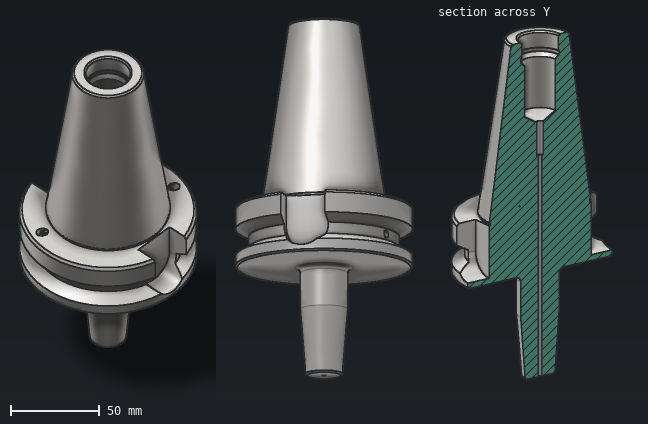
import cadquery as cq
import math

GAUGE_RADIUS = 69.85 / 2
TAPER_LENGTH = 101.8
TAPER_SLOPE = 7 / 24 / 2
TAPER_TIP_CHAMFER = 1.0
RELIEF_HEIGHT = 1.5
RELIEF_DEPTH = 0.5

FLANGE_RADIUS = 50.0
FLANGE_TOP = -3.0
FLANGE_BOTTOM = -38.0
UPPER_CHAMFER = 1.5
LOWER_CHAMFER = 1.0
GROOVE_RADIUS = 85 / 2
GROOVE_CENTRE_Z = -23.5
GROOVE_FLOOR_HALF = 3.25
GROOVE_SIDE_SLOPE = math.tan(math.radians(30))

SLOT_WIDTH = 25.7
SLOT_FLOOR_X = 35.4
SLOT_BOTTOM = -34.3

NOSE_END = -100.0
NECK_RADIUS = 27 / 2
NOSE_TIP_RADIUS = 21 / 2
NOSE_HALF_ANGLE = 4.5
NECK_FILLET = 3.0
NOSE_CHAMFER = 1.0

BORE_RADIUS = 25 / 2
BORE_DEPTH = 12.2
BORE_UNDERCUT_HEIGHT = 2.2
BORE_UNDERCUT_DEPTH = 0.5
BORE_CHAMFER = 1.0
PILOT_RADIUS = 21 / 2
PILOT_LEAD = 2.4
PILOT_DEPTH = 45.0
DRILL_TIP_HALF_ANGLE = 60.0
CHANNEL_RADIUS = 2.0
CHANNEL_DEPTH = 20.0
THROUGH_RADIUS = 1.0

COOLANT_ANGLES = (70.0, 250.0)
COOLANT_MOUTH_RADIUS = 41.7
COOLANT_TILT = 30.0
COUNTERBORE_RADIUS = 3.0
COUNTERBORE_DEPTH = 3.0
PASSAGE_RADIUS = 1.6
RADIAL_HOLE_RADIUS = 2.1


def taper_radius(z):
    """Radius of the 7/24 taper at height z."""
    return GAUGE_RADIUS - TAPER_SLOPE * z


def make_body():
    """Solid of revolution: taper, flange with V groove, neck and tapered nose."""
    relief_radius = GAUGE_RADIUS - RELIEF_DEPTH
    relief_top = FLANGE_TOP + RELIEF_HEIGHT
    tip_shoulder = TAPER_LENGTH - TAPER_TIP_CHAMFER
    groove_rise = (FLANGE_RADIUS - GROOVE_RADIUS) * GROOVE_SIDE_SLOPE
    groove_floor_top = GROOVE_CENTRE_Z + GROOVE_FLOOR_HALF
    groove_floor_bottom = GROOVE_CENTRE_Z - GROOVE_FLOOR_HALF
    nose_length = (NECK_RADIUS - NOSE_TIP_RADIUS) / math.tan(math.radians(NOSE_HALF_ANGLE))

    profile = (
        cq.Workplane("XZ")
        .moveTo(0, TAPER_LENGTH)
        .lineTo(taper_radius(TAPER_LENGTH) - TAPER_TIP_CHAMFER, TAPER_LENGTH)
        .lineTo(taper_radius(tip_shoulder), tip_shoulder)
        .lineTo(taper_radius(relief_top), relief_top)
        .lineTo(relief_radius, relief_top)
        .lineTo(relief_radius, FLANGE_TOP)
        .lineTo(FLANGE_RADIUS - UPPER_CHAMFER, FLANGE_TOP)
        .lineTo(FLANGE_RADIUS, FLANGE_TOP - UPPER_CHAMFER)
        .lineTo(FLANGE_RADIUS, groove_floor_top + groove_rise)
        .lineTo(GROOVE_RADIUS, groove_floor_top)
        .lineTo(GROOVE_RADIUS, groove_floor_bottom)
        .lineTo(FLANGE_RADIUS, groove_floor_bottom - groove_rise)
        .lineTo(FLANGE_RADIUS, FLANGE_BOTTOM + LOWER_CHAMFER)
        .lineTo(FLANGE_RADIUS - LOWER_CHAMFER, FLANGE_BOTTOM)
        .lineTo(NECK_RADIUS + NECK_FILLET, FLANGE_BOTTOM)
        .radiusArc((NECK_RADIUS, FLANGE_BOTTOM - NECK_FILLET), -NECK_FILLET)
        .lineTo(NECK_RADIUS, NOSE_END + nose_length)
        .lineTo(NOSE_TIP_RADIUS, NOSE_END + NOSE_CHAMFER)
        .lineTo(NOSE_TIP_RADIUS - NOSE_CHAMFER, NOSE_END)
        .lineTo(0, NOSE_END)
        .close()
    )
    return profile.revolve(360, (0, 0, 0), (0, 1, 0))


def make_bore():
    """Stepped axial bore that narrows to a small hole through the nose."""
    bore_floor = TAPER_LENGTH - BORE_DEPTH
    undercut_radius = BORE_RADIUS + BORE_UNDERCUT_DEPTH
    undercut_top = bore_floor + BORE_UNDERCUT_HEIGHT
    tip_start = TAPER_LENGTH - PILOT_DEPTH
    tip_drop = (PILOT_RADIUS - CHANNEL_RADIUS) / math.tan(math.radians(DRILL_TIP_HALF_ANGLE))
    channel_top = tip_start - tip_drop
    channel_floor = channel_top - CHANNEL_DEPTH
    profile = (
        cq.Workplane("XZ")
        .moveTo(0, TAPER_LENGTH)
        .lineTo(BORE_RADIUS + BORE_CHAMFER, TAPER_LENGTH)
        .lineTo(BORE_RADIUS, TAPER_LENGTH - BORE_CHAMFER)
        .lineTo(BORE_RADIUS, undercut_top)
        .lineTo(undercut_radius, undercut_top)
        .lineTo(undercut_radius, bore_floor)
        .lineTo(BORE_RADIUS, bore_floor)
        .lineTo(PILOT_RADIUS, bore_floor - PILOT_LEAD)
        .lineTo(PILOT_RADIUS, tip_start)
        .lineTo(CHANNEL_RADIUS, channel_top)
        .lineTo(CHANNEL_RADIUS, channel_floor)
        .lineTo(THROUGH_RADIUS, channel_floor)
        .lineTo(THROUGH_RADIUS, NOSE_END)
        .lineTo(0, NOSE_END)
        .close()
    )
    return profile.revolve(360, (0, 0, 0), (0, 1, 0))


def make_drive_slot(side):
    """Round-bottomed drive slot, open at the top and outwards; side is +1 or -1 along X."""
    half_width = SLOT_WIDTH / 2
    arc_centre_z = SLOT_BOTTOM + half_width
    return (
        cq.Workplane("YZ", origin=(side * SLOT_FLOOR_X, 0, 0))
        .moveTo(-half_width, FLANGE_TOP)
        .lineTo(-half_width, arc_centre_z)
        .threePointArc((0, SLOT_BOTTOM), (half_width, arc_centre_z))
        .lineTo(half_width, FLANGE_TOP)
        .close()
        .extrude(side * FLANGE_RADIUS)
    )


def make_coolant_passage(angle):
    """Inclined counterbored hole and the radial groove hole it runs into."""
    tilt = math.radians(COOLANT_TILT)
    mouth = cq.Vector(COOLANT_MOUTH_RADIUS, 0, FLANGE_TOP)
    inward = cq.Vector(-math.sin(tilt), 0, -math.cos(tilt))
    length = (FLANGE_TOP - GROOVE_CENTRE_Z) / math.cos(tilt)
    meeting_x = (mouth + inward * length).x
    start = mouth - inward * COUNTERBORE_DEPTH

    counterbore = cq.Solid.makeCylinder(COUNTERBORE_RADIUS, 2 * COUNTERBORE_DEPTH, start, inward)
    inclined = cq.Solid.makeCylinder(PASSAGE_RADIUS, length, mouth, inward)
    radial = cq.Solid.makeCylinder(
        RADIAL_HOLE_RADIUS,
        FLANGE_RADIUS - meeting_x,
        cq.Vector(meeting_x, 0, GROOVE_CENTRE_Z),
        cq.Vector(1, 0, 0),
    )
    passage = cq.Workplane(counterbore).union(cq.Workplane(inclined)).union(cq.Workplane(radial))
    return passage.rotate((0, 0, 0), (0, 0, 1), angle)


result = make_body().cut(make_bore())
for slot_side in (1, -1):
    result = result.cut(make_drive_slot(slot_side))
for coolant_angle in COOLANT_ANGLES:
    result = result.cut(make_coolant_passage(coolant_angle))